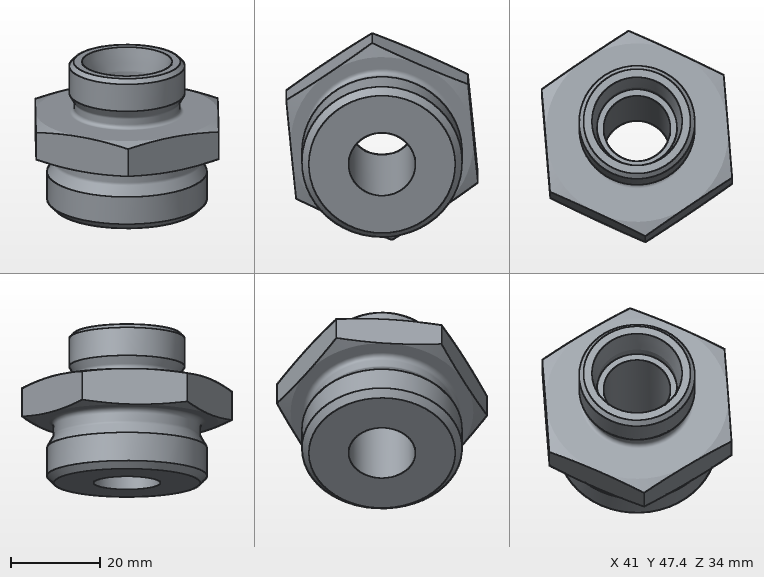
import cadquery as cq
import math

total_height = 34.0
hex_bottom = 13.95
hex_top = 22.1
hex_across_corners = 47.35
hex_chamfer_angle = 15.0

lower_thread_diameter = 36.0
lower_neck_diameter = 33.0
lower_thread_top = 8.0
lower_chamfer = 1.55
lower_fillet = 1.15

upper_thread_diameter = 26.0
upper_neck_diameter = 23.7
upper_thread_bottom = 26.6
upper_chamfer = 1.0
upper_fillet = 0.95

runout_angle = 30.0

bore_diameter = 15.0
socket_diameter = 18.0
socket_mouth_diameter = 20.25
socket_depth = 7.5
socket_cone_angle = 12.0


def cone_length(large_diameter, small_diameter, angle):
    """Axial length of a cone whose side leans by angle from the axis."""
    return (large_diameter - small_diameter) / 2 / math.tan(math.radians(angle))


def revolve_profile(points):
    """Solid of revolution about Z from a closed (radius, z) outline."""
    return cq.Workplane("XZ").polyline(points).close().revolve(360, (0, 0), (0, 1))


def threaded_end(thread_diameter, neck_diameter, thread_length, end_chamfer, neck_fillet, length):
    """Threaded spigot on z = 0, with its neck against a hexagon face at z = length."""
    thread_radius = thread_diameter / 2
    neck_radius = neck_diameter / 2
    neck_start = thread_length + cone_length(thread_diameter, neck_diameter, runout_angle)

    turn = math.radians(runout_angle)
    tangent_length = neck_fillet * math.tan(turn / 2)
    round_center_radius = neck_radius + neck_fillet
    round_center_z = neck_start + tangent_length

    def round_point(angle):
        return (
            round_center_radius - neck_fillet * math.cos(angle),
            round_center_z - neck_fillet * math.sin(angle),
        )

    fillet_start_z = length - neck_fillet
    fillet_mid = (
        neck_radius + neck_fillet * (1 - math.cos(math.pi / 4)),
        fillet_start_z + neck_fillet * math.sin(math.pi / 4),
    )
    return (
        cq.Workplane("XZ")
        .moveTo(0, 0)
        .lineTo(thread_radius - end_chamfer, 0)
        .lineTo(thread_radius, end_chamfer)
        .lineTo(thread_radius, thread_length)
        .lineTo(*round_point(turn))
        .threePointArc(round_point(turn / 2), round_point(0))
        .lineTo(neck_radius, fillet_start_z)
        .threePointArc(fillet_mid, (neck_radius + neck_fillet, length))
        .lineTo(0, length)
        .close()
        .revolve(360, (0, 0), (0, 1))
    )


def chamfered_hexagon():
    """Hexagon with corners on the Y axis, both faces turned down to the across-flats circle."""
    corner_radius = hex_across_corners / 2
    flat_radius = corner_radius * math.cos(math.pi / 6)
    corner_drop = (corner_radius - flat_radius) * math.tan(math.radians(hex_chamfer_angle))
    prism = (
        cq.Workplane("XY")
        .workplane(offset=hex_bottom)
        .polygon(6, hex_across_corners)
        .extrude(hex_top - hex_bottom)
        .rotate((0, 0, 0), (0, 0, 1), 30)
    )
    turned_envelope = revolve_profile([
        (0, hex_bottom),
        (flat_radius, hex_bottom),
        (corner_radius, hex_bottom + corner_drop),
        (corner_radius, hex_top - corner_drop),
        (flat_radius, hex_top),
        (0, hex_top),
    ])
    return prism.intersect(turned_envelope)


def bore_and_socket():
    """Through bore opening into a conical-mouthed tube socket at the top."""
    socket_radius = socket_diameter / 2
    cone_depth = cone_length(socket_mouth_diameter, socket_diameter, socket_cone_angle)
    return revolve_profile([
        (0, 0),
        (bore_diameter / 2, 0),
        (bore_diameter / 2, total_height - socket_depth),
        (socket_radius, total_height - socket_depth),
        (socket_radius, total_height - cone_depth),
        (socket_mouth_diameter / 2, total_height),
        (0, total_height),
    ])


lower_end = threaded_end(
    lower_thread_diameter,
    lower_neck_diameter,
    lower_thread_top,
    lower_chamfer,
    lower_fillet,
    hex_bottom,
)
upper_end = (
    threaded_end(
        upper_thread_diameter,
        upper_neck_diameter,
        total_height - upper_thread_bottom,
        upper_chamfer,
        upper_fillet,
        total_height - hex_top,
    )
    .rotate((0, 0, 0), (1, 0, 0), 180)
    .translate((0, 0, total_height))
)

result = chamfered_hexagon().union(lower_end).union(upper_end).cut(bore_and_socket())